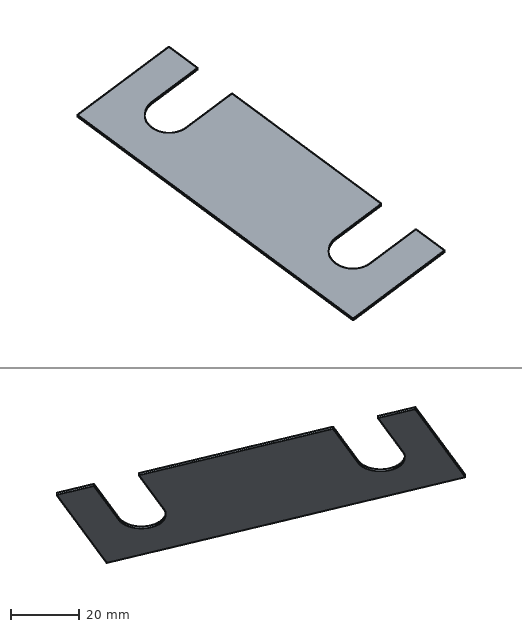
import cadquery as cq

INCH = 25.4
plate_length = 4.5 * INCH
plate_width = 1.5 * INCH
plate_thickness = 0.81

slot_width = 9 / 16 * INCH
slot_end_inset = 0.75 * INCH
slot_depth = 0.75 * INCH

slot_offset = plate_length / 2 - slot_end_inset
open_edge_y = plate_width / 2
slot_centre_y = open_edge_y - slot_depth


def make_plate():
    """Rectangular plate centred on the origin in X and Y, resting on Z = 0."""
    return cq.Workplane("XY").box(
        plate_length, plate_width, plate_thickness, centered=(True, True, False)
    )


def make_slot(centre_x):
    """Cutter for one U-shaped slot through the full thickness."""
    radius = slot_width / 2
    return (
        cq.Workplane("XY")
        .moveTo(centre_x - radius, open_edge_y)
        .lineTo(centre_x - radius, slot_centre_y)
        .threePointArc((centre_x, slot_centre_y - radius), (centre_x + radius, slot_centre_y))
        .lineTo(centre_x + radius, open_edge_y)
        .close()
        .extrude(plate_thickness)
    )


result = make_plate()
for side in (-1, 1):
    result = result.cut(make_slot(side * slot_offset))